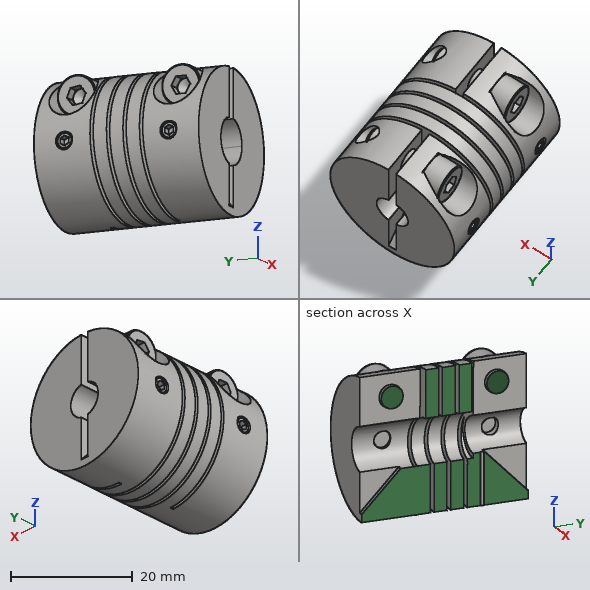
import cadquery as cq
import math


body_diameter = 25.0
body_length = 30.0
half_length = body_length / 2
body_radius = body_diameter / 2
front_bore_diameter = 8.0
back_bore_diameter = 6.35
back_bore_depth = 10.0

helix_pitch = 3.0
helix_turns = 4
helix_start_y = -5.3
helix_cut_width = 0.6
helix_cut_inner_radius = 2.5
helix_cut_outer_radius = body_radius + 1.0

slot_width = 1.5
slot_bottom_z = -11.0
front_slot_end_y = -4.0
back_slot_end_y = 5.0

screw_offset_y = 9.5
front_screw_y = -screw_offset_y
back_screw_y = screw_offset_y

clamp_diameter = 4.0
clamp_length = 12.0
clamp_head_diameter = 7.0
clamp_head_height = 4.0
clamp_head_chamfer = 0.2
clamp_tip_chamfer = 0.4
clamp_axis_z = 8.5
clamp_seat_x = -3.8
clamp_counterbore_diameter = 8.0
clamp_hex_across_flats = 3.0
clamp_hex_depth = 2.0
clamp_socket_cone_angle = 120.0
front_clamp_turn = 0.0
back_clamp_turn = -8.0

set_diameter = 3.0
set_chamfer = 0.25
set_hex_across_flats = 1.5
set_hex_depth = 1.5
set_hex_turn = 30.0
set_outer_x = -12.3
set_length = 8.0

corners_per_flats = 2 / math.sqrt(3)


def cylinder_along_x(start_x, length, diameter, y=0.0, z=0.0):
    """Cylinder from start_x toward +X, with its axis at the given y and z."""
    return cq.Workplane("YZ", origin=(start_x, y, z)).circle(diameter / 2).extrude(length)


def cylinder_along_y(start_y, length, diameter):
    """Cylinder on the coupling axis, from start_y toward +Y."""
    return cq.Workplane("XZ", origin=(0, start_y, 0)).circle(diameter / 2).extrude(-length)


def helix_edge(radius, z):
    """Helix round Z, starting at the given height."""
    path = cq.Wire.makeHelix(helix_pitch, helix_turns * helix_pitch, radius, cq.Vector(0, 0, z))
    return path.Edges()[0]


def helical_cut():
    """Square-edged ribbon round the coupling axis, made round Z and then laid along +Y."""
    half_width = helix_cut_width / 2
    corners = [
        (helix_cut_inner_radius, -half_width),
        (helix_cut_outer_radius, -half_width),
        (helix_cut_outer_radius, half_width),
        (helix_cut_inner_radius, half_width),
    ]
    edges = [helix_edge(radius, z) for radius, z in corners]
    next_edges = edges[1:] + edges[:1]
    sides = [cq.Face.makeRuledSurface(edge, after) for edge, after in zip(edges, next_edges)]
    start_outline = cq.Wire.makePolygon([cq.Vector(radius, 0, z) for radius, z in corners], close=True)
    start_face = cq.Face.makeFromWires(start_outline)
    end_face = start_face.translate(cq.Vector(0, 0, helix_turns * helix_pitch))
    shell = cq.Shell.makeShell(sides + [start_face, end_face])
    ribbon = cq.Workplane(cq.Solid.makeSolid(shell))
    start_on_y = ribbon.rotate((0, 0, 0), (0, 0, 1), 90)
    return start_on_y.rotate((0, 0, 0), (1, 0, 0), -90).translate((0, helix_start_y, 0))


def clamping_slot(face_y, end_y):
    """Slot from an end face inward, its floor rising at 45 degrees to the inner end."""
    floor_rise = abs(face_y - end_y)
    return (
        cq.Workplane("YZ")
        .moveTo(face_y, body_radius)
        .lineTo(face_y, slot_bottom_z)
        .lineTo(end_y, slot_bottom_z + floor_rise)
        .lineTo(end_y, body_radius)
        .close()
        .extrude(slot_width / 2, both=True)
    )


def clamp_screw_hole(y):
    """Shank hole out through the +X side, and a counterbore open to the -X side."""
    shank_hole = cylinder_along_x(clamp_seat_x, body_diameter, clamp_diameter, y, clamp_axis_z)
    counterbore = cylinder_along_x(
        clamp_seat_x, -body_diameter, clamp_counterbore_diameter, y, clamp_axis_z
    )
    return shank_hole.union(counterbore)


def set_screw_hole(y):
    """Radial hole from the -X side into the bore."""
    return cylinder_along_x(-body_radius, body_radius, set_diameter, y)


def make_body():
    body = cylinder_along_y(-half_length, body_length, body_diameter)
    front_bore_length = body_length - back_bore_depth
    body = body.cut(cylinder_along_y(-half_length, front_bore_length, front_bore_diameter))
    body = body.cut(cylinder_along_y(half_length, -back_bore_depth, back_bore_diameter))
    for y in (front_screw_y, back_screw_y):
        body = body.cut(clamp_screw_hole(y))
        body = body.cut(set_screw_hole(y))
    body = body.cut(clamping_slot(-half_length, front_slot_end_y))
    body = body.cut(clamping_slot(half_length, back_slot_end_y))
    return body.cut(helical_cut())


def make_clamp_screw(y, turn):
    """Socket head screw with a cone-bottomed hex socket, turned about its own axis."""
    head_x = clamp_seat_x - clamp_head_height
    head = cylinder_along_x(head_x, clamp_head_height, clamp_head_diameter)
    head = head.faces("<X").chamfer(clamp_head_chamfer)
    shank = cylinder_along_x(clamp_seat_x, clamp_length, clamp_diameter)
    shank = shank.faces(">X").chamfer(clamp_tip_chamfer)
    hex_socket = (
        cq.Workplane("YZ", origin=(head_x, 0, 0))
        .polygon(6, clamp_hex_across_flats * corners_per_flats)
        .extrude(clamp_hex_depth)
    )
    cone_radius = clamp_hex_across_flats / 2
    cone_height = cone_radius / math.tan(math.radians(clamp_socket_cone_angle / 2))
    socket_cone = cq.Workplane(
        cq.Solid.makeCone(
            cone_radius,
            0,
            cone_height,
            cq.Vector(head_x + clamp_hex_depth, 0, 0),
            cq.Vector(1, 0, 0),
        )
    )
    screw = head.union(shank).cut(hex_socket).cut(socket_cone)
    return screw.rotate((0, 0, 0), (1, 0, 0), turn).translate((0, y, clamp_axis_z))


def make_set_screw(y):
    """Headless screw with a chamfered outer end and a flat-bottomed hex socket."""
    screw = cylinder_along_x(set_outer_x, set_length, set_diameter)
    screw = screw.faces("<X").chamfer(set_chamfer)
    hex_socket = (
        cq.Workplane("YZ", origin=(set_outer_x, 0, 0))
        .transformed(rotate=(0, 0, set_hex_turn))
        .polygon(6, set_hex_across_flats * corners_per_flats)
        .extrude(set_hex_depth)
    )
    return screw.cut(hex_socket).translate((0, y, 0))


body = make_body()
clamp_screws = [
    make_clamp_screw(front_screw_y, front_clamp_turn),
    make_clamp_screw(back_screw_y, back_clamp_turn),
]
set_screws = [make_set_screw(y) for y in (front_screw_y, back_screw_y)]

result = cq.Compound.makeCompound(
    [body.val(), *[screw.val() for screw in clamp_screws + set_screws]]
)